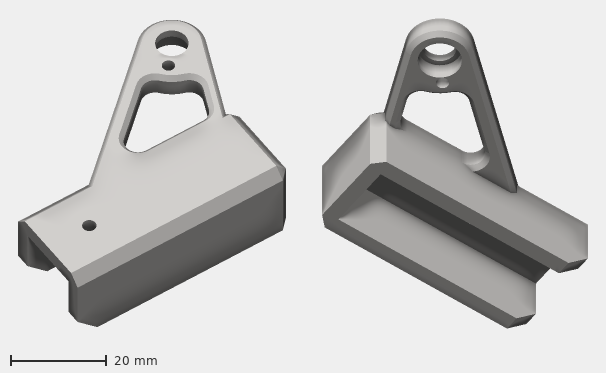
import cadquery as cq
import math

body_width = 22.0
body_length = 54.5
body_height = 18.5
body_chamfer = 2.4
foot_chamfer = 5.0
side_wall = 3.45
roof_thickness = 3.6
back_wall = side_wall
roof_hole_diameter = 3.0
roof_hole_y = 10.5

total_width = 49.85
total_length = 60.3
lug_radius = 7.3
lug_x = body_width - total_width + lug_radius
lug_y = total_length - lug_radius
arm_thickness = 6.05
arm_chamfer = 1.0
arm_overlap = 3.0
arm_front_y = 18.35
arm_back_y = 52.35
lug_hole_diameter = 7.0
lug_counterbore_diameter = 9.3
lug_counterbore_ceiling = 2.0
pin_hole_diameter = 2.8
pin_hole_x = lug_x + 4.65
pin_hole_y = lug_y - 4.05

front_rim = 4.0
back_rim = 3.2
lug_rim_radius = 9.8
window_fillet = 3.0


def make_body():
    body = cq.Workplane("XY").box(
        body_width, body_length, body_height, centered=False
    ).translate((0, 0, -body_height))
    body = body.edges("(>Z and (not <Y)) or (|Z and >Y)").chamfer(body_chamfer)
    body = body.edges("<Z and <Y").chamfer(foot_chamfer)
    channel = cq.Workplane("XY").box(
        body_width - 2 * side_wall,
        body_length - back_wall,
        body_height - roof_thickness,
        centered=False,
    ).translate((side_wall, 0, -body_height))
    return body.cut(channel).cut(
        vertical_hole(body_width / 2, roof_hole_y, roof_hole_diameter)
    )


def vertical_hole(x, y, diameter):
    return cq.Workplane("XY").center(x, y).circle(diameter / 2).extrude(-body_height)


def edge_angle(side_y, turn):
    """Heading of the arm edge that leaves the lug and meets X = 0 at side_y.

    turn is 1 for the back edge and -1 for the front edge.
    """
    run = -lug_x
    drop = side_y - lug_y
    return math.atan2(drop, run) - turn * math.asin(lug_radius / math.hypot(run, drop))


def offset_point(angle, turn, distance):
    """Foot of the perpendicular from the lug centre to a line beside it."""
    return (
        lug_x - turn * distance * math.sin(angle),
        lug_y + turn * distance * math.cos(angle),
    )


def point_at_x(start, angle, x):
    return (x, start[1] + (x - start[0]) * math.tan(angle))


back_angle = edge_angle(arm_back_y, 1)
front_angle = edge_angle(arm_front_y, -1)


def make_window():
    back_start = offset_point(back_angle, 1, lug_radius - back_rim)
    front_start = offset_point(front_angle, -1, lug_radius - front_rim)
    wedge = (
        cq.Workplane("XY")
        .moveTo(*back_start)
        .lineTo(*point_at_x(back_start, back_angle, 0))
        .lineTo(*point_at_x(front_start, front_angle, 0))
        .lineTo(*front_start)
        .close()
        .extrude(-arm_thickness)
    )
    lug_rim = vertical_hole(lug_x, lug_y, 2 * lug_rim_radius)
    return wedge.cut(lug_rim).edges("|Z").fillet(window_fillet)


def make_arm():
    back_tangent = offset_point(back_angle, 1, lug_radius)
    front_tangent = offset_point(front_angle, -1, lug_radius)
    middle_angle = (back_angle + front_angle) / 2
    lug_tip = (
        lug_x - lug_radius * math.cos(middle_angle),
        lug_y - lug_radius * math.sin(middle_angle),
    )
    plate = (
        cq.Workplane("XY")
        .moveTo(*front_tangent)
        .threePointArc(lug_tip, back_tangent)
        .lineTo(*point_at_x(back_tangent, back_angle, arm_overlap))
        .lineTo(*point_at_x(front_tangent, front_angle, arm_overlap))
        .close()
        .extrude(-arm_thickness)
    )
    plate = plate.cut(make_window())
    plate = plate.faces("<Z or >Z").edges("not >X").chamfer(arm_chamfer)
    plate = plate.cut(vertical_hole(lug_x, lug_y, lug_hole_diameter))
    counterbore = vertical_hole(lug_x, lug_y, lug_counterbore_diameter)
    plate = plate.cut(counterbore.translate((0, 0, -lug_counterbore_ceiling)))
    return plate.cut(vertical_hole(pin_hole_x, pin_hole_y, pin_hole_diameter))


result = make_body().union(make_arm())